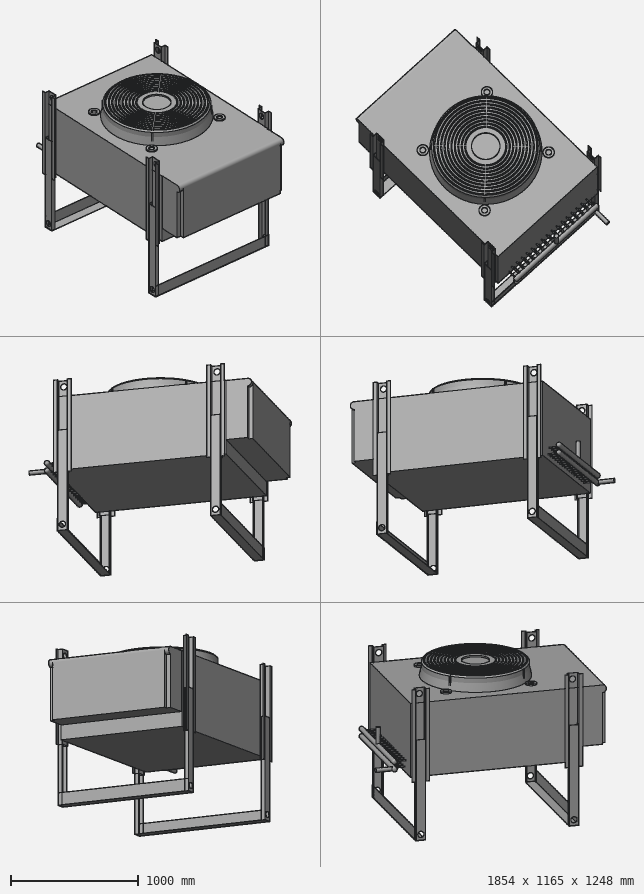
import cadquery as cq
import math

HEIGHT = 1248.0
DEPTH = 1165.0
TOP_Z = HEIGHT / 2
BOTTOM_Z = -HEIGHT / 2
OUTER_Y = DEPTH / 2
SHEET = 3.0

BRACKET_XS = (-608.0, 647.0)
BRACKET_BOTTOM = -139.0
CHANNEL_WIDTH = 85.0
BRACKET_WIDTH = 145.0
HOLE_DIAMETER = 50.0
HOLE_FROM_END = 50.0

CABINET_HALF_Y = 540.0
CABINET_X0 = BRACKET_XS[0] - BRACKET_WIDTH / 2
CABINET_X1 = BRACKET_XS[1] + BRACKET_WIDTH / 2
CABINET_BOTTOM = -110.0
CABINET_TOP = 499.0
END_HALF_Y = 535.0
END_BOTTOM = 10.0
NOSE_RADIUS = 32.0
END_X = 927.0
END_WALL_X = END_X - NOSE_RADIUS
NOSE_Z = CABINET_TOP - NOSE_RADIUS
PANEL_INSET = 37.0

FAN_X = 19.0
SHROUD_BASE_RADIUS = 441.0
SHROUD_RIM_RADIUS = 425.0
SHROUD_SHOULDER_Z = 567.0
SHROUD_BEVEL = 13.0
GRILLE_DEPTH = 13.0
SLOT_COUNT = 10
SLOT_WIDTH = 10.0
SLOT_PITCH = 26.9
FIRST_SLOT_RADIUS = 161.0
HUB_RADIUS = 111.0
SPOKE_WIDTH = 13.0
STRAP_RADIUS = 432.0
STRAP_TOP = TOP_Z - SHROUD_BEVEL
DIAGONALS = (45, 135, 225, 315)

RING_OFFSET = 349.0
RING_OUTER_DIAMETER = 89.0
RING_INNER_DIAMETER = 46.0
RING_HEIGHT = 11.0

HEADER_X = -779.0
UPPER_HEADER_Z = -5.0
LOWER_HEADER_Z = -67.0
HEADER_DIAMETER = 43.0
HEADER_LENGTH = 909.0
HEADER_END_ROUND = 17.0
TUBE_DIAMETER = 10.0
TUBES_PER_HEADER = 16
TUBE_PITCH = 54.0
TUBE_STAGGER = TUBE_PITCH / 2
STUB_DIAMETER = 35.0
UPPER_STUB_TOP = 146.0
LOWER_STUB_X = -927.0
LOWER_STUB_Y = -417.0

LEG_TOP = 208.0
LEG_DEPTH = 35.0
LEG_WIDTH = CHANNEL_WIDTH - 2 * SHEET
CROSSBAR_HEIGHT = 100.0


def block(x0, x1, y0, y1, z0, z1):
    """Box between two opposite corners, given in either order along each axis."""
    size = (abs(x1 - x0), abs(y1 - y0), abs(z1 - z0))
    middle = ((x0 + x1) / 2, (y0 + y1) / 2, (z0 + z1) / 2)
    return cq.Workplane("XY").box(*size).translate(middle)


def cylinder(start, direction, diameter, length):
    """Round bar from a start point along a direction."""
    return cq.Workplane(
        cq.Solid.makeCylinder(diameter / 2, length, cq.Vector(*start), cq.Vector(*direction))
    )


def cross_hole(x, z):
    """Cutter for a round hole that runs along Y through the whole depth."""
    return cylinder((x, -DEPTH, z), (0, 1, 0), HOLE_DIAMETER, 2 * DEPTH)


def make_cabinet():
    main = block(CABINET_X0, CABINET_X1, -CABINET_HALF_Y, CABINET_HALF_Y, CABINET_BOTTOM, CABINET_TOP)
    end = block(CABINET_X1, END_WALL_X, -END_HALF_Y, END_HALF_Y, END_BOTTOM, CABINET_TOP)
    nose = cylinder((END_WALL_X, -END_HALF_Y, NOSE_Z), (0, 1, 0), 2 * NOSE_RADIUS, 2 * END_HALF_Y)
    panel_half_y = END_HALF_Y - PANEL_INSET
    panel = block(END_WALL_X, END_X, -panel_half_y, panel_half_y, END_BOTTOM, NOSE_Z)
    return main.union(end).union(nose).union(panel)


def make_shroud():
    profile = [
        (0, CABINET_TOP),
        (SHROUD_BASE_RADIUS, CABINET_TOP),
        (SHROUD_RIM_RADIUS, SHROUD_SHOULDER_Z),
        (SHROUD_RIM_RADIUS, TOP_Z - SHROUD_BEVEL),
        (SHROUD_RIM_RADIUS - SHROUD_BEVEL, TOP_Z),
        (0, TOP_Z),
    ]
    shroud = cq.Workplane("XZ").polyline(profile).close().revolve(360, (0, 0), (0, 1))
    for angle in DIAGONALS:
        strap = block(0, STRAP_RADIUS, -SPOKE_WIDTH / 2, SPOKE_WIDTH / 2, CABINET_TOP, STRAP_TOP)
        shroud = shroud.union(strap.rotate((0, 0, 0), (0, 0, 1), angle))
    return shroud.cut(make_grille_cutter()).translate((FAN_X, 0, 0))


def make_grille_cutter():
    """Hub recess and concentric slots, with the slots interrupted by the diagonal spokes."""
    floor = cq.Workplane("XY").workplane(offset=TOP_Z - GRILLE_DEPTH)
    slots = cq.Workplane("XY")
    for i in range(SLOT_COUNT):
        radius = FIRST_SLOT_RADIUS + i * SLOT_PITCH
        ring = floor.circle(radius + SLOT_WIDTH / 2).circle(radius - SLOT_WIDTH / 2)
        slots = slots.add(ring.extrude(GRILLE_DEPTH))
    spokes = cq.Workplane("XY")
    for angle in DIAGONALS[:2]:
        spoke = floor.rect(2 * STRAP_RADIUS, SPOKE_WIDTH).extrude(GRILLE_DEPTH)
        spokes = spokes.union(spoke.rotate((0, 0, 0), (0, 0, 1), angle))
    hub = floor.circle(HUB_RADIUS).extrude(GRILLE_DEPTH)
    return slots.combine().cut(spokes).union(hub)


def make_rings():
    centres = [(FAN_X + i * RING_OFFSET, j * RING_OFFSET) for i in (-1, 1) for j in (-1, 1)]
    top_plane = cq.Workplane("XY").workplane(offset=CABINET_TOP).pushPoints(centres)
    rings = top_plane.circle(RING_OUTER_DIAMETER / 2).extrude(RING_HEIGHT)
    holes = top_plane.circle(RING_INNER_DIAMETER / 2).extrude(RING_HEIGHT)
    return rings, holes


def make_bracket(x, side):
    """Hat section: web on the cabinet, walls reaching outward, flanges at the outer face."""
    inner_y = side * CABINET_HALF_Y
    outer_y = side * OUTER_Y
    flange_y = side * (OUTER_Y - SHEET)
    half_channel = CHANNEL_WIDTH / 2
    span_z = (BRACKET_BOTTOM, TOP_Z)
    bracket = block(x - half_channel, x + half_channel, inner_y, inner_y + side * SHEET, *span_z)
    for hand in (-1, 1):
        wall_x = x + hand * half_channel
        wall = block(wall_x - hand * SHEET, wall_x, inner_y, outer_y, *span_z)
        flange = block(wall_x - hand * SHEET, x + hand * BRACKET_WIDTH / 2, flange_y, outer_y, *span_z)
        bracket = bracket.union(wall).union(flange)
    return bracket.cut(cross_hole(x, TOP_Z - HOLE_FROM_END))


def make_header(z, first_tube_y):
    """Round-ended pipe along Y with a row of thin tubes running to the cabinet."""
    start = (HEADER_X, -HEADER_LENGTH / 2, z)
    header = cylinder(start, (0, 1, 0), HEADER_DIAMETER, HEADER_LENGTH)
    header = header.faces("<Y or >Y").edges().fillet(HEADER_END_ROUND)
    for i in range(TUBES_PER_HEADER):
        tube_start = (HEADER_X, first_tube_y + i * TUBE_PITCH, z)
        header = header.union(cylinder(tube_start, (1, 0, 0), TUBE_DIAMETER, CABINET_X0 - HEADER_X))
    return header


def make_headers():
    row_half = (TUBES_PER_HEADER - 1) * TUBE_PITCH / 2
    upper = make_header(UPPER_HEADER_Z, -row_half - TUBE_STAGGER / 2)
    lower = make_header(LOWER_HEADER_Z, -row_half + TUBE_STAGGER / 2)
    upper_stub = cylinder(
        (HEADER_X, 0, UPPER_HEADER_Z), (0, 0, 1), STUB_DIAMETER, UPPER_STUB_TOP - UPPER_HEADER_Z
    )
    lower_stub = cylinder(
        (HEADER_X, LOWER_STUB_Y, LOWER_HEADER_Z), (-1, 0, 0), STUB_DIAMETER, HEADER_X - LOWER_STUB_X
    )
    return upper.union(upper_stub), lower.union(lower_stub)


def make_housing():
    rings, ring_holes = make_rings()
    housing = make_cabinet().union(rings).cut(ring_holes).union(make_shroud())
    for x in BRACKET_XS:
        for side in (-1, 1):
            housing = housing.union(make_bracket(x, side))
    for header in make_headers():
        housing = housing.union(header)
    return housing


def make_support_frame(x, outward):
    """Two channel legs, open toward the cabinet, joined at the foot by an angle crossbar."""
    half_leg = LEG_WIDTH / 2
    frame = cq.Workplane("XY")
    for side in (-1, 1):
        outer_y = side * OUTER_Y
        inner_y = side * (OUTER_Y - LEG_DEPTH)
        leg = block(x - half_leg, x + half_leg, inner_y, outer_y, BOTTOM_Z, LEG_TOP)
        hollow_half = half_leg - SHEET
        hollow = block(
            x - hollow_half, x + hollow_half, inner_y, outer_y - side * SHEET, BOTTOM_Z, LEG_TOP
        )
        frame = frame.union(leg.cut(hollow))
    plate_x = x + outward * half_leg
    plate = block(
        plate_x, plate_x + outward * SHEET, -OUTER_Y, OUTER_Y, BOTTOM_Z, BOTTOM_Z + CROSSBAR_HEIGHT
    )
    foot = block(x - half_leg, x + half_leg, -OUTER_Y, OUTER_Y, BOTTOM_Z, BOTTOM_Z + SHEET)
    frame = frame.union(plate).union(foot)
    return frame.cut(cross_hole(x, BOTTOM_Z + HOLE_FROM_END))


housing = make_housing()
support_frames = [make_support_frame(x, math.copysign(1, x)) for x in BRACKET_XS]

result = cq.Compound.makeCompound([housing.val(), *[frame.val() for frame in support_frames]])